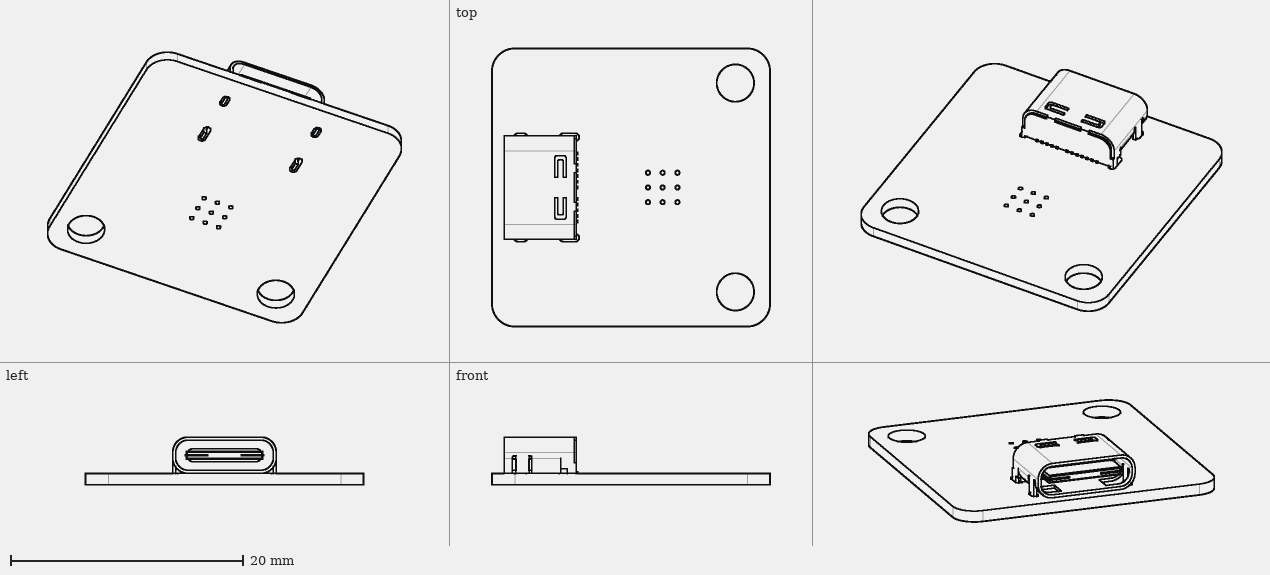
import cadquery as cq

BOARD_SIZE = 24.0
BOARD_THICKNESS = 1.0
BOARD_CORNER_RADIUS = 2.0
MOUNT_HOLE_DIAMETER = 3.2
MOUNT_HOLE_OFFSET = 9.0
VIA_DIAMETER = 0.35
VIA_PITCH = 1.27
VIA_GRID_X = 2.73
VIA_COUNT = 3

SHELL_FRONT = -10.93
SHELL_LENGTH = 6.03
SHELL_WIDTH = 8.94
SHELL_HEIGHT = 3.13
SHELL_RADIUS = 1.32
SHELL_WALL = 0.27
SHELL_REAR = SHELL_FRONT + SHELL_LENGTH
SHELL_HALF_WIDTH = SHELL_WIDTH / 2
SHELL_TOP = BOARD_THICKNESS + SHELL_HEIGHT
SHELL_MID_Z = BOARD_THICKNESS + SHELL_HEIGHT / 2
LOWER_ROUND_TOP = BOARD_THICKNESS + SHELL_RADIUS

BACK_OVERHANG = 0.2
BACK_REAR = SHELL_REAR + BACK_OVERHANG
STRAP_Y = 1.66
STRAP_WIDTH = 0.8

LEG_SLOT_WIDTH = 0.65
LEG_Y = SHELL_HALF_WIDTH - SHELL_WALL / 2
FRONT_SLOT_X = -9.5
FRONT_SLOT_LENGTH = 1.15
REAR_SLOT_X = -5.32
REAR_SLOT_LENGTH = 1.7

FRONT_LEG_START = -9.93
FRONT_LEG_END = -8.78
FRONT_TAIL_END = -9.05
WINDOW_START = -10.22
WINDOW_END = -8.57
WINDOW_HEIGHT = 1.48
WINDOW_DEPTH = 2.4
WINDOW_CORNER_RADIUS = 0.12

REAR_LEG_START = -6.06
REAR_LEG_END = BACK_REAR
REAR_LEG_STEP_HEIGHT = 0.92
REAR_NOTCH_END = -5.48
REAR_NOTCH_HEIGHT = 0.4
REAR_NOTCH_RADIUS = 0.1

SPRING_X = -6.08
SPRING_WIDTH = 0.96
SPRING_INNER_Y = 0.88
SPRING_OUTER_Y = 2.75
SPRING_CUT = 0.25
SPRING_END_CUT = 0.38
SPRING_OUTER_RADIUS = 0.2
SPRING_INNER_RADIUS = 0.1

BLOCK_FRONT = -6.7
BASE_FRONT = WINDOW_END
BASE_WIDTH = 6.35
BASE_HEIGHT = 1.12
BASE_RADIUS = 0.45
TONGUE_FRONT = -10.6
TONGUE_WIDTH = 6.6
TONGUE_HEIGHT = 0.7
TONGUE_CHAMFER = 0.1
MID_PLATE_WIDTH = 6.8
MID_PLATE_HEIGHT = 0.1
MID_PLATE_GAP = 2.9
MID_PLATE_REACH = 0.05
MID_PLATE_FRONT = TONGUE_FRONT - MID_PLATE_REACH

FOOT_REACH = 0.13
FOOT_HEIGHT = 0.12
FOOT_WIDTH = 0.2
FOOT_PITCH = 0.49
FOOT_SPAN = range(-6, 7)
VACANT_FOOT = -1

SIDES = (-1, 1)


def block(x_span, y_span, z_span):
    """Box between two values on each axis."""
    (x0, x1), (y0, y1), (z0, z1) = x_span, y_span, z_span
    return cq.Workplane("XY").box(x1 - x0, y1 - y0, z1 - z0, centered=False).translate((x0, y0, z0))


def side_block(side, x_span, y_span, z_span):
    """Box on one side of the XZ plane; y_span holds distances from that plane."""
    return block(x_span, sorted(side * y for y in y_span), z_span)


def rounded_bar(x_span, width, height, radius):
    """Bar along X with a rounded-rectangle section, centred on the axis of the shell."""
    x0, x1 = x_span
    bar = cq.Workplane("YZ").rect(width, height).extrude(x1 - x0).edges("|X").fillet(radius)
    return bar.translate((x0, 0, SHELL_MID_Z))


def make_board():
    board = (
        cq.Workplane("XY")
        .rect(BOARD_SIZE, BOARD_SIZE)
        .extrude(BOARD_THICKNESS)
        .edges("|Z")
        .fillet(BOARD_CORNER_RADIUS)
    )
    top = board.faces(">Z").workplane(origin=(0, 0, BOARD_THICKNESS))
    mount_points = [(MOUNT_HOLE_OFFSET, side * MOUNT_HOLE_OFFSET) for side in SIDES]
    board = top.pushPoints(mount_points).hole(MOUNT_HOLE_DIAMETER)

    vias = cq.Workplane("XY").center(VIA_GRID_X, 0).rarray(VIA_PITCH, VIA_PITCH, VIA_COUNT, VIA_COUNT)
    board = board.cut(vias.circle(VIA_DIAMETER / 2).extrude(BOARD_THICKNESS))

    for x, length in ((FRONT_SLOT_X, FRONT_SLOT_LENGTH), (REAR_SLOT_X, REAR_SLOT_LENGTH)):
        points = [(x, side * LEG_Y) for side in SIDES]
        slots = cq.Workplane("XY").pushPoints(points).slot2D(length, LEG_SLOT_WIDTH)
        board = board.cut(slots.extrude(BOARD_THICKNESS))
    return board


def make_spring_cut(side):
    length = SPRING_OUTER_Y - SPRING_INNER_Y
    inner_length = length - SPRING_END_CUT
    end = ">Y" if side > 0 else "<Y"

    def finger(width, finger_length, radius):
        x_span = (SPRING_X - width / 2, SPRING_X + width / 2)
        y_span = (SPRING_INNER_Y, SPRING_INNER_Y + finger_length)
        body = side_block(side, x_span, y_span, (SHELL_TOP - SHELL_WALL, SHELL_TOP))
        return body.faces(end).edges("|Z").fillet(radius)

    outer = finger(SPRING_WIDTH, length, SPRING_OUTER_RADIUS)
    return outer.cut(finger(SPRING_WIDTH - 2 * SPRING_CUT, inner_length, SPRING_INNER_RADIUS))


def make_front_leg(side):
    wall = (SHELL_HALF_WIDTH - SHELL_WALL, SHELL_HALF_WIDTH)
    window_top = BOARD_THICKNESS + WINDOW_HEIGHT
    leg = side_block(side, (FRONT_LEG_START, FRONT_LEG_END), wall, (BOARD_THICKNESS, window_top))
    tail = side_block(side, (FRONT_LEG_START, FRONT_TAIL_END), wall, (0, BOARD_THICKNESS))
    return leg.union(tail)


def make_front_window(side):
    span = (SHELL_HALF_WIDTH - WINDOW_DEPTH, SHELL_HALF_WIDTH)
    z_span = (BOARD_THICKNESS, BOARD_THICKNESS + WINDOW_HEIGHT)
    window = side_block(side, (WINDOW_START, WINDOW_END), span, z_span)
    return window.edges("|Y and >Z").fillet(WINDOW_CORNER_RADIUS)


def make_rear_leg(side):
    wall = (SHELL_HALF_WIDTH - SHELL_WALL, SHELL_HALF_WIDTH)
    step_top = BOARD_THICKNESS + REAR_LEG_STEP_HEIGHT
    leg = side_block(side, (REAR_LEG_START, SHELL_REAR), wall, (BOARD_THICKNESS, LOWER_ROUND_TOP))
    leg = leg.union(side_block(side, (SHELL_REAR, REAR_LEG_END), wall, (BOARD_THICKNESS, step_top)))
    notch_top = BOARD_THICKNESS + REAR_NOTCH_HEIGHT
    notch = side_block(side, (REAR_LEG_START, REAR_NOTCH_END), wall, (BOARD_THICKNESS, notch_top))
    leg = leg.cut(notch.edges("|Y and >X and >Z").fillet(REAR_NOTCH_RADIUS))
    return leg.union(side_block(side, (REAR_NOTCH_END, REAR_LEG_END), wall, (0, BOARD_THICKNESS)))


def make_shell():
    span = (SHELL_FRONT, SHELL_REAR)
    outer = rounded_bar(span, SHELL_WIDTH, SHELL_HEIGHT, SHELL_RADIUS)
    shell = outer.cut(make_cavity(span))
    shell = shell.cut(
        block(
            (REAR_LEG_START, SHELL_REAR),
            (-SHELL_HALF_WIDTH, SHELL_HALF_WIDTH),
            (BOARD_THICKNESS, LOWER_ROUND_TOP),
        )
    )
    for side in SIDES:
        shell = shell.cut(make_front_window(side)).cut(make_spring_cut(side))
        shell = shell.union(make_front_leg(side)).union(make_rear_leg(side))
        shell = shell.union(make_strap(side))
    return shell


def make_cavity(x_span):
    """Bar that fills the inside of the shell."""
    return rounded_bar(
        x_span,
        SHELL_WIDTH - 2 * SHELL_WALL,
        SHELL_HEIGHT - 2 * SHELL_WALL,
        SHELL_RADIUS - SHELL_WALL,
    )


def make_strap(side):
    y_span = (STRAP_Y - STRAP_WIDTH / 2, STRAP_Y + STRAP_WIDTH / 2)
    return side_block(side, (SHELL_REAR, BACK_REAR), y_span, (SHELL_MID_Z, SHELL_TOP))


def make_insulator():
    inner_half_width = SHELL_HALF_WIDTH - SHELL_WALL
    insulator = make_cavity((BLOCK_FRONT, BACK_REAR))
    insulator = insulator.union(
        block(
            (REAR_LEG_START, BACK_REAR),
            (-inner_half_width, inner_half_width),
            (BOARD_THICKNESS, LOWER_ROUND_TOP),
        )
    )
    insulator = insulator.union(rounded_bar((BASE_FRONT, BLOCK_FRONT), BASE_WIDTH, BASE_HEIGHT, BASE_RADIUS))

    tongue = cq.Workplane("XY").box(BASE_FRONT - TONGUE_FRONT, TONGUE_WIDTH, TONGUE_HEIGHT)
    tongue = tongue.faces("<X").edges().chamfer(TONGUE_CHAMFER)
    insulator = insulator.union(tongue.translate(((BASE_FRONT + TONGUE_FRONT) / 2, 0, SHELL_MID_Z)))

    z_span = (SHELL_MID_Z - MID_PLATE_HEIGHT / 2, SHELL_MID_Z + MID_PLATE_HEIGHT / 2)
    for side in SIDES:
        y_span = (MID_PLATE_GAP / 2, MID_PLATE_WIDTH / 2)
        insulator = insulator.union(side_block(side, (MID_PLATE_FRONT, BASE_FRONT), y_span, z_span))
    return insulator


def add_contact_feet(connector):
    z_span = (BOARD_THICKNESS, BOARD_THICKNESS + FOOT_HEIGHT)
    for position in FOOT_SPAN:
        if position == VACANT_FOOT:
            continue
        y = position * FOOT_PITCH
        y_span = (y - FOOT_WIDTH / 2, y + FOOT_WIDTH / 2)
        connector = connector.union(block((SHELL_REAR, BACK_REAR + FOOT_REACH), y_span, z_span))
    return connector


board = make_board()
connector = add_contact_feet(make_shell().union(make_insulator()))

result = cq.Compound.makeCompound([board.val(), *connector.vals()])